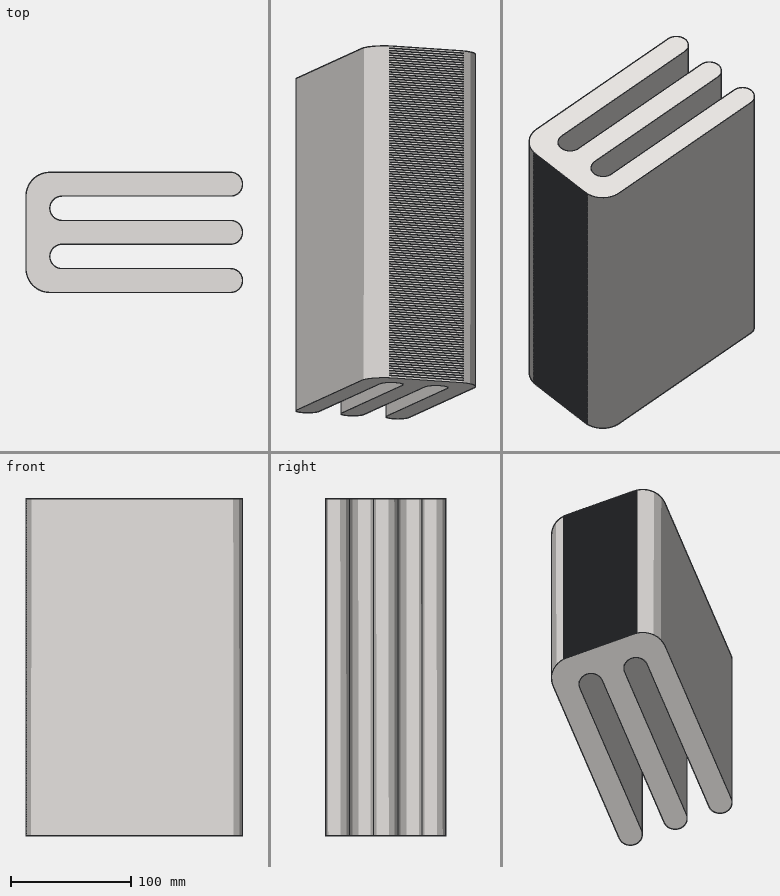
import cadquery as cq

height = 280.0
length = 180.0
wall = 20.0
fin_count = 3
gap = 20.0
corner_radius = 20.0
groove_pitch = 2.0
groove_depth = 0.2
groove_width = 0.39

fin_pitch = wall + gap
width = fin_count * wall + (fin_count - 1) * gap
back_x = -length / 2
front_x = length / 2


def fin_offset(index, count):
    """Y centre of one of several features spaced at the fin pitch about Y = 0."""
    return (index - (count - 1) / 2) * fin_pitch


def make_block():
    """Upright block with rounded back corners."""
    block = cq.Workplane("XY").box(length, width, height)
    return block.edges("|Z and <X").fillet(corner_radius)


def cut_gaps(body):
    """Cut the gaps between fins, each with a round bottom and an open front."""
    gap_count = fin_count - 1
    gap_radius = gap / 2
    gap_center_x = back_x + wall + gap_radius
    for index in range(gap_count):
        y = fin_offset(index, gap_count)
        cutter = (
            cq.Workplane("XY", origin=(0, 0, -height / 2))
            .moveTo(front_x, y - gap_radius)
            .lineTo(gap_center_x, y - gap_radius)
            .threePointArc((gap_center_x - gap_radius, y), (gap_center_x, y + gap_radius))
            .lineTo(front_x, y + gap_radius)
            .close()
            .extrude(height)
        )
        body = body.cut(cutter)
    return body


def round_fin_tips(body):
    """Give the free end of every fin a full round."""
    tip_radius = wall / 2
    tip_center_x = front_x - tip_radius
    for index in range(fin_count):
        y = fin_offset(index, fin_count)
        tip_block = cq.Workplane("XY").box(tip_radius, wall, height)
        tip_block = tip_block.translate((front_x - tip_radius / 2, y, 0))
        tip_round = cq.Workplane("XY").center(tip_center_x, y).circle(tip_radius)
        tip_round = tip_round.extrude(height / 2, both=True)
        body = body.cut(tip_block.cut(tip_round))
    return body


def cut_grooves(body):
    """Cut fine horizontal grooves across the back, evenly spaced from end to end."""
    groove_count = round(height / groove_pitch) - 1
    first_z = -(groove_count - 1) / 2 * groove_pitch
    cutters = []
    for index in range(groove_count):
        cutter = cq.Workplane("XY").box(2 * groove_depth, width, groove_width)
        cutter = cutter.translate((back_x, 0, first_z + index * groove_pitch))
        cutters.append(cutter.val())
    return body.cut(cq.Workplane(cq.Compound.makeCompound(cutters)))


result = make_block()
result = cut_gaps(result)
result = round_fin_tips(result)
result = cut_grooves(result)